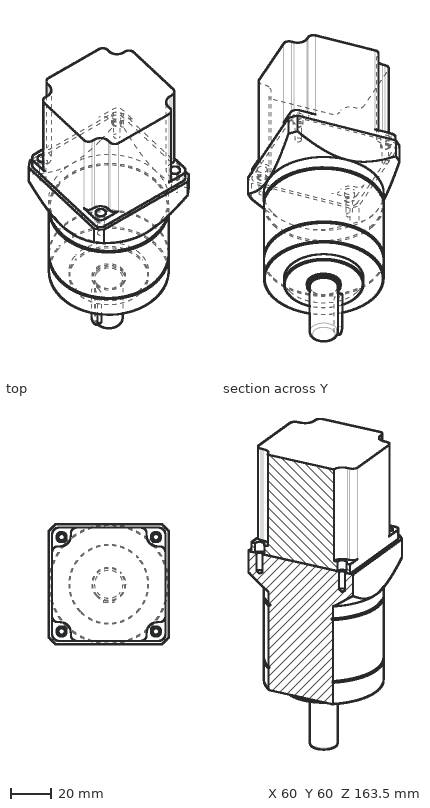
import cadquery as cq
import math

total_length = 163.5
motor_length = 55.0
motor_bottom = total_length - motor_length
adapter_straight_height = 10.0
housing_bottom = 35.0
pilot_height = 3.5
collar_height = 1.5

housing_diameter = 60.0
housing_radius = housing_diameter / 2
adapter_corner_radius = 40.0
housing_edge_chamfer = 0.5
groove_width = 1.0
grooves = ((47.4, 0.3), (81.6, 0.7))

pilot_radius = 20.0
pilot_chamfer = 0.5
collar_radius = 8.5
collar_chamfer = 0.5
shaft_radius = 7.0
shaft_end_rounding = 1.5

key_width = 5.0
key_length = 24.9
key_bottom = 2.6
key_reach = 9.0

motor_width = 56.5
motor_flange_height = 5.0
motor_corner_radius = 3.5
notch_wall_offset = 19.0
notch_inner_radius = 5.0
notch_lip_radius = 3.0

hole_spacing = 47.1
clearance_diameter = 5.0
countersink_diameter = 4.3
tapped_diameter = 3.3
tapped_depth = 9.8
drill_point_height = 1.0


def make_housing_body():
    """Square adapter that narrows along a 45-degree cone to a round, grooved housing with an edge chamfer."""
    cone_top = motor_bottom - adapter_straight_height
    cone_bottom = cone_top - (adapter_corner_radius - housing_radius)
    turned = (
        cq.Workplane("XZ")
        .moveTo(0, housing_bottom)
        .lineTo(housing_radius - housing_edge_chamfer, housing_bottom)
        .lineTo(housing_radius, housing_bottom + housing_edge_chamfer)
        .lineTo(housing_radius, cone_bottom)
        .lineTo(adapter_corner_radius, cone_top)
        .lineTo(adapter_corner_radius, motor_bottom)
        .lineTo(0, motor_bottom)
        .close()
        .revolve()
    )
    square = (
        cq.Workplane("XY")
        .workplane(offset=housing_bottom)
        .rect(housing_diameter, housing_diameter)
        .extrude(motor_bottom - housing_bottom)
    )
    body = turned.intersect(square)
    for level, groove_depth in grooves:
        groove = (
            cq.Workplane("XZ")
            .moveTo(housing_radius - groove_depth, level)
            .lineTo(housing_radius, level - groove_width / 2)
            .lineTo(housing_radius, level + groove_width / 2)
            .close()
            .revolve(360, (0, 0), (0, 1))
        )
        body = body.cut(groove)
    return body


def make_cylinder(radius, bottom, top):
    """Cylinder on the gearbox axis."""
    return cq.Workplane("XY").workplane(offset=bottom).circle(radius).extrude(top - bottom)


def make_key():
    """Round-ended key that rises from the shaft axis toward -Y."""
    return (
        cq.Workplane("XZ")
        .center(0, key_bottom + key_length / 2)
        .slot2D(key_length, key_width, 90)
        .extrude(key_reach)
    )


def make_tapped_holes():
    """Blind screw holes with conical drill points, open at the top of the adapter."""
    radius = tapped_diameter / 2
    countersink_radius = countersink_diameter / 2
    hole = (
        cq.Workplane("XZ")
        .moveTo(0, motor_bottom)
        .lineTo(countersink_radius, motor_bottom)
        .lineTo(radius, motor_bottom - (countersink_radius - radius))
        .lineTo(radius, motor_bottom - tapped_depth)
        .lineTo(0, motor_bottom - tapped_depth - drill_point_height)
        .close()
        .revolve()
        .val()
    )
    return (
        cq.Workplane("XY")
        .rect(hole_spacing, hole_spacing, forConstruction=True)
        .vertices()
        .eachpoint(lambda place: hole.moved(place))
    )


def make_gearbox():
    """Housing with its pilot, collar, keyed shaft and tapped holes, as one solid."""
    pilot_bottom = housing_bottom - pilot_height
    collar_bottom = pilot_bottom - collar_height
    pilot = make_cylinder(pilot_radius, pilot_bottom, housing_bottom).faces("<Z").chamfer(pilot_chamfer)
    collar = make_cylinder(collar_radius, collar_bottom, pilot_bottom).faces("<Z").chamfer(collar_chamfer)
    shaft = make_cylinder(shaft_radius, 0, collar_bottom).faces("<Z").edges().fillet(shaft_end_rounding)
    return (
        make_housing_body()
        .union(pilot)
        .union(collar)
        .union(shaft)
        .union(make_key())
        .cut(make_tapped_holes())
    )


def make_corner_notch():
    """Notch at the +X +Y corner: rounded inner corner and rounded lips, open to both sides."""
    half_width = motor_width / 2
    diagonal = math.cos(math.pi / 4)
    arc_end = notch_wall_offset + notch_inner_radius
    arc_middle = arc_end - notch_inner_radius * diagonal
    lip_center = notch_wall_offset - notch_lip_radius
    lip_depth = half_width - notch_lip_radius
    lip_middle = lip_center + notch_lip_radius * diagonal
    lip_middle_depth = lip_depth + notch_lip_radius * diagonal
    return (
        cq.Workplane("XY")
        .workplane(offset=motor_bottom + motor_flange_height)
        .moveTo(lip_center, half_width)
        .threePointArc((lip_middle, lip_middle_depth), (notch_wall_offset, lip_depth))
        .lineTo(notch_wall_offset, arc_end)
        .threePointArc((arc_middle, arc_middle), (arc_end, notch_wall_offset))
        .lineTo(lip_depth, notch_wall_offset)
        .threePointArc((lip_middle_depth, lip_middle), (half_width, lip_center))
        .lineTo(half_width, half_width)
        .close()
        .extrude(motor_length - motor_flange_height)
    )


def make_motor():
    """Square motor on a thin flange, with notched corners above the four screw holes."""
    motor = (
        cq.Workplane("XY")
        .workplane(offset=motor_bottom)
        .rect(motor_width, motor_width)
        .extrude(motor_length)
        .edges("|Z")
        .fillet(motor_corner_radius)
    )
    notch = make_corner_notch()
    for quarter in range(4):
        motor = motor.cut(notch.rotate((0, 0, 0), (0, 0, 1), 90 * quarter))
    holes = (
        cq.Workplane("XY")
        .workplane(offset=motor_bottom)
        .rect(hole_spacing, hole_spacing, forConstruction=True)
        .vertices()
        .circle(clearance_diameter / 2)
        .extrude(motor_flange_height)
    )
    return motor.cut(holes)


gearbox = make_gearbox()
motor = make_motor()

result = cq.Compound.makeCompound([gearbox.val(), motor.val()])